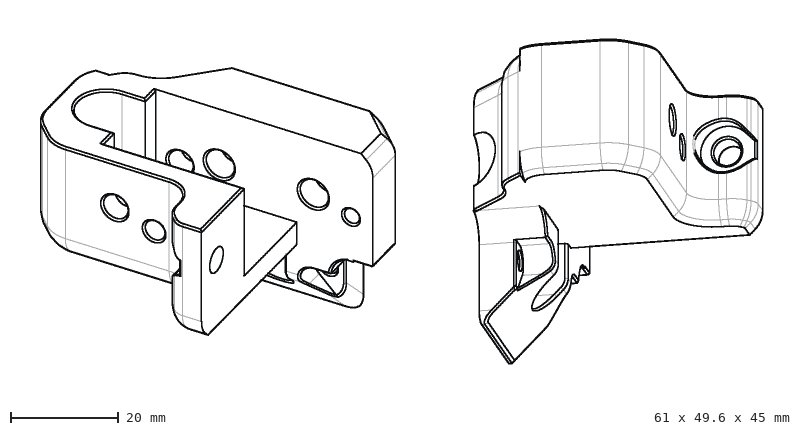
import cadquery as cq
import math

LENGTH = 61.0
DEPTH = 49.6
HEIGHT = 45.0

BODY_BOTTOM = 20.0
PLATE_FRONT = -13.0
EDGE_BREAK = 0.4

BODY_FRONT = -38.0
BODY_BACK = -8.0
BODY_CORNER = 6.5
BODY_RADIUS = 7.0
PLATE_CORNER = 4.35
FOOT_LEFT = 36.5
FOOT_RIGHT = 44.85
FOOT_CORNER = 3.0
FOOT_RADIUS = 5.0
FOOT_TIP_RADIUS = 3.0

SOFT_CHAMFER = 2.5
SOFT_RADIUS = 5.0

CAVITY_LENGTH = 30.0
CAVITY_LEFT = FOOT_RIGHT - CAVITY_LENGTH
CAVITY_FRONT = -33.2
CAVITY_FLOOR = 25.0
RECESS_WIDTH = 12.0
RECESS_STRAIGHT = 5.0
RECESS_CENTER_Y = (BODY_FRONT + BODY_BACK) / 2
RECESS_FLOOR = 30.0

SCREW_PITCH = 20.0
SCREW_LEFT = 28.35
SCREW_RIGHT = SCREW_LEFT + SCREW_PITCH
PATTERN_X = SCREW_LEFT + SCREW_PITCH / 2
SCREW_LOW_Z = 12.45
SCREW_HIGH_Z = SCREW_LOW_Z + SCREW_PITCH
SCREW_HOLE = 3.2
SCREW_HEAD = 6.0
SCREW_ACCESS = 4.2
SCREW_HEAD_DEPTH = 6.0

SIDE_HOLE_X = 56.35
SIDE_HOLE_Z = 30.0
BOLT_HOLE = 5.2
BOLT_HEAD = 10.0
BOLT_X = 20.0
BOLT_ARM_Z = 35.0
BOLT_PLATE_Z = 30.0
BOLT_HEAD_DEPTH = 8.0
FOOT_BOLT_Y = -43.85
FOOT_BOLT_Z = 35.0
FOOT_BOLT_SEAT_X = 40.0
FOOT_BOLT_CLEARANCE = 12.0

TAB_WIDTH = 27.0
TAB_LEFT = PATTERN_X - TAB_WIDTH / 2
TAB_RIGHT = PATTERN_X + TAB_WIDTH / 2
TAB_NECK_RADIUS = 5.0
TAB_CORNER_RADIUS = 2.0
TAB_TIP_THICKNESS = 1.0
TAB_BEND_Z = -PLATE_FRONT - TAB_TIP_THICKNESS
TAB_BEND_RADIUS = 3.0
TAB_SIDE_RADIUS = 3.0
POCKET_FLOOR = -7.0
SLOT_WIDTH = 7.4
SLOT_CENTER_Z = 10.2
SLOT_BREAK = 0.5

PLATE_MARGIN = 7.0

TOLERANCE = 1e-3

TAN_HALF_45 = math.tan(math.radians(22.5))


def rounded_outline(plane, corners):
    """Closed wire through (x, y, radius) corners, each rounded by a tangent arc."""
    points = [cq.Vector(x, y) for x, y, _ in corners]
    stretches = []
    for i, (_, _, radius) in enumerate(corners):
        corner = points[i]
        to_previous = (points[i - 1] - corner).normalized()
        to_next = (points[(i + 1) % len(points)] - corner).normalized()
        half_angle = to_previous.getAngle(to_next) / 2
        setback = radius / math.tan(half_angle)
        to_center = (to_previous + to_next).normalized()
        middle = corner + to_center * (radius / math.sin(half_angle) - radius)
        stretches.append((corner + to_previous * setback, middle, corner + to_next * setback, radius))
    outline = cq.Workplane(plane).moveTo(*stretches[0][0].toTuple()[:2])
    position = stretches[0][0]
    for start, middle, end, radius in stretches:
        if (start - position).Length > TOLERANCE:
            outline = outline.lineTo(start.x, start.y)
        if radius > 0:
            outline = outline.threePointArc((middle.x, middle.y), (end.x, end.y))
        position = end
    return outline.close()


def box(x_range, y_range, z_range):
    """Axis-aligned box between two limits on each axis."""
    size = [high - low for low, high in (x_range, y_range, z_range)]
    return cq.Workplane("XY").box(*size, centered=False).translate((x_range[0], y_range[0], z_range[0]))


def flared_hole(plane, diameter, depth):
    """Cylinder cutter entering along the plane's normal, with its entry edge broken."""
    flare_diameter = diameter + 2 * EDGE_BREAK
    bore = plane.circle(diameter / 2).extrude(depth)
    flare = plane.circle(flare_diameter / 2).workplane(offset=EDGE_BREAK).circle(diameter / 2).loft()
    return bore.union(flare)


def hole_from_front(x, z, diameter, y_front, depth):
    """Flared hole cutter entering at y_front and running toward +Y."""
    plane = cq.Plane(origin=(x, y_front, z), xDir=(1, 0, 0), normal=(0, 1, 0))
    return flared_hole(cq.Workplane(plane), diameter, depth)


def cut_with_broken_rim(solid, cutter, size, *groups):
    """Cut, then chamfer the rim (edges on the surface of both solid and cutter), group by group.

    Each group is a test on an edge's middle point that picks the edges to chamfer together.
    """
    shells = solid.val().Shells() + cutter.val().Shells()
    part = solid.cut(cutter)
    for in_group in groups:
        rim = []
        for edge in part.edges().vals():
            middle = edge.positionAt(0.5)
            vertex = cq.Vertex.makeVertex(*middle.toTuple())
            if in_group(middle) and all(shell.distance(vertex) < TOLERANCE for shell in shells):
                rim.append(edge)
        part = part.newObject(rim).chamfer(size)
    return part


def footprint(back_y):
    """Upper block: plate and arm joined, its slanted ends running on to the back line back_y."""
    back_bend_x = BODY_CORNER + 2 * BODY_RADIUS * TAN_HALF_45
    corners = [
        (back_bend_x + back_y - BODY_BACK, back_y, 0),
        (LENGTH - PLATE_CORNER - back_y, back_y, 0),
        (LENGTH, -PLATE_CORNER, 0),
        (LENGTH, PLATE_FRONT, 0),
        (FOOT_RIGHT, PLATE_FRONT, 0),
        (FOOT_RIGHT, -DEPTH, 0),
        (FOOT_LEFT + FOOT_CORNER, -DEPTH, FOOT_TIP_RADIUS),
        (FOOT_LEFT, FOOT_CORNER - DEPTH, FOOT_RADIUS),
        (FOOT_LEFT, BODY_FRONT, FOOT_RADIUS),
        (BODY_CORNER, BODY_FRONT, BODY_RADIUS),
        (0, BODY_FRONT + BODY_CORNER, BODY_RADIUS),
        (0, BODY_BACK - BODY_CORNER, BODY_RADIUS),
        (BODY_CORNER, BODY_BACK, BODY_RADIUS),
        (back_bend_x, BODY_BACK, BODY_RADIUS),
    ]
    outline = rounded_outline("XY", corners)
    return outline.extrude(HEIGHT - BODY_BOTTOM).translate((0, 0, BODY_BOTTOM))


def edges_at_z(solid, z, keep):
    """Edges lying in the plane at height z whose center satisfies keep."""
    flat = [edge for edge in solid.edges().vals() if edge.BoundingBox().zlen < TOLERANCE]
    level = [edge for edge in flat if abs(edge.Center().z - z) < TOLERANCE]
    return solid.newObject([edge for edge in level if keep(edge.Center())])


def soften(solid, z_edge, z_tangent, keep):
    """Chamfer the outer edges at z_edge and blend the chamfer into the wall above or below."""
    chamfered = edges_at_z(solid, z_edge, keep).chamfer(SOFT_CHAMFER)
    return edges_at_z(chamfered, z_tangent, keep).fillet(SOFT_RADIUS)


def make_arm(block):
    """Front part: softened underside, hollowed by the cavity and the round-ended recess."""
    arm = block.intersect(box((0, LENGTH), (-DEPTH, PLATE_FRONT), (0, HEIGHT)))

    def on_outside(center):
        return center.y < PLATE_FRONT - TOLERANCE and center.x < FOOT_RIGHT - TOLERANCE

    arm = soften(arm, BODY_BOTTOM, BODY_BOTTOM + SOFT_CHAMFER, on_outside)
    arm = arm.cut(box((CAVITY_LEFT, LENGTH), (CAVITY_FRONT, PLATE_FRONT), (CAVITY_FLOOR, HEIGHT)))
    recess_length = 2 * RECESS_STRAIGHT + RECESS_WIDTH
    recess = cq.Workplane("XY", origin=(CAVITY_LEFT, RECESS_CENTER_Y, RECESS_FLOOR))
    arm = arm.cut(recess.slot2D(recess_length, RECESS_WIDTH).extrude(HEIGHT - RECESS_FLOOR))
    return edges_at_z(arm, HEIGHT, lambda c: c.y < PLATE_FRONT - TOLERANCE).chamfer(EDGE_BREAK)


def foot_bolt_seat(seat_plane):
    """Cutter for the bolt head in the foot: round, with 45 degree flanks meeting toward -Y."""
    radius = BOLT_HEAD / 2
    tangent = radius * math.sqrt(0.5)
    outline = (
        seat_plane.moveTo(-2 * tangent, 0)
        .lineTo(-tangent, -tangent)
        .threePointArc((radius, 0), (-tangent, tangent))
        .close()
    )
    return outline.extrude(-FOOT_BOLT_CLEARANCE)


def drill_arm(arm):
    """Screwdriver access, bolt hole through the front wall and the seated bolt in the foot."""
    wall = CAVITY_FRONT - BODY_FRONT
    arm = arm.cut(hole_from_front(SCREW_LEFT, SCREW_HIGH_Z, SCREW_ACCESS, BODY_FRONT, wall))
    arm = arm.cut(hole_from_front(BOLT_X, BOLT_ARM_Z, BOLT_HOLE, BODY_FRONT, wall))
    seat_plane = cq.Workplane("YZ", origin=(FOOT_BOLT_SEAT_X, FOOT_BOLT_Y, FOOT_BOLT_Z))
    arm = cut_with_broken_rim(arm, foot_bolt_seat(seat_plane), EDGE_BREAK, lambda point: True)
    return arm.cut(flared_hole(seat_plane, BOLT_HOLE, FOOT_RIGHT - FOOT_BOLT_SEAT_X))


def make_plate():
    """Rear plate above the tab, softened while oversized and then trimmed to its thickness."""
    back_y = PLATE_MARGIN
    front_y = PLATE_FRONT - PLATE_MARGIN
    plate = footprint(back_y).intersect(box((0, LENGTH), (front_y, back_y), (0, HEIGHT)))

    def on_ends(center):
        on_left = center.x < FOOT_LEFT / 2 and center.y > front_y + TOLERANCE
        on_right = center.x > FOOT_RIGHT and center.y > PLATE_FRONT + TOLERANCE
        return (on_left or on_right) and center.y < back_y - TOLERANCE

    plate = soften(plate, HEIGHT, HEIGHT - SOFT_CHAMFER, on_ends)
    plate = edges_at_z(plate, BODY_BOTTOM, on_ends).chamfer(EDGE_BREAK)
    plate = plate.intersect(box((0, LENGTH), (PLATE_FRONT, 0), (0, HEIGHT)))
    lower_front = cq.Workplane("YZ", origin=(TAB_RIGHT + TAB_NECK_RADIUS, PLATE_FRONT, BODY_BOTTOM))
    corner = lower_front.polyline([(0, 0), (EDGE_BREAK, 0), (0, EDGE_BREAK)]).close()
    return plate.cut(corner.extrude(LENGTH))


def slope_profile():
    """Side profile of the tab: a wall, a rounded bend and a 45 degree slope to the tip."""
    corners = [
        (0, BODY_BOTTOM, 0),
        (PLATE_FRONT, BODY_BOTTOM, 0),
        (PLATE_FRONT, TAB_BEND_Z, TAB_BEND_RADIUS),
        (-TAB_TIP_THICKNESS, 0, 0),
        (0, 0, 0),
    ]
    return rounded_outline("YZ", corners).extrude(LENGTH)


def side_rounding():
    """Waste outside the rounded right edge of the slope, swept along the slope."""
    r = TAB_SIDE_RADIUS
    plane = cq.Plane(origin=(TAB_RIGHT, PLATE_FRONT, TAB_BEND_Z), xDir=(1, 0, 0), normal=(0, 1, -1))
    corner = (
        cq.Workplane(plane)
        .moveTo(-r, 0)
        .radiusArc((0, -r), r)
        .lineTo(r, -r)
        .lineTo(r, r)
        .lineTo(-r, r)
        .close()
    )
    return corner.extrude(-2 * PLATE_FRONT)


def pocket(x, outward):
    """Flat-floored screw seat open to one side of the tab (outward is -1 or +1)."""
    r = SCREW_HEAD / 2
    diagonal = r * math.sqrt(0.5)
    reach = TAB_WIDTH
    return (
        cq.Workplane("XZ", origin=(x, POCKET_FLOOR, SCREW_LOW_Z))
        .moveTo(outward * reach, r)
        .lineTo(0, r)
        .threePointArc((-outward * r, 0), (-outward * diagonal, -diagonal))
        .lineTo(outward * (reach - diagonal), -diagonal - reach)
        .lineTo(outward * reach, -diagonal - reach)
        .close()
        .extrude(-PLATE_FRONT)
    )


def slot_cutter():
    """Through slot with a round lower end, open to the block above."""
    half_width = SLOT_WIDTH / 2
    end_center = cq.Workplane("XZ", origin=(PATTERN_X, 0, SLOT_CENTER_Z))
    round_end = end_center.circle(half_width).extrude(-PLATE_FRONT)
    x_range = (PATTERN_X - half_width, PATTERN_X + half_width)
    return round_end.union(box(x_range, (PLATE_FRONT, 0), (SLOT_CENTER_Z, BODY_BOTTOM)))


def tab_blank():
    """Tab outline with necks into the block, sloped front and broken front side edges."""
    neck = TAB_NECK_RADIUS
    corner = TAB_CORNER_RADIUS
    tab = (
        cq.Workplane("XZ")
        .moveTo(TAB_LEFT - neck, BODY_BOTTOM)
        .radiusArc((TAB_LEFT, BODY_BOTTOM - neck), neck)
        .lineTo(TAB_LEFT, corner)
        .radiusArc((TAB_LEFT + corner, 0), -corner)
        .lineTo(TAB_RIGHT - corner, 0)
        .radiusArc((TAB_RIGHT, corner), -corner)
        .lineTo(TAB_RIGHT, BODY_BOTTOM - neck)
        .radiusArc((TAB_RIGHT + neck, BODY_BOTTOM), neck)
        .close()
        .extrude(-PLATE_FRONT)
    )

    def on_left_side(point):
        return point.x < TAB_LEFT + corner - TOLERANCE

    def on_upper_right_side(point):
        return point.x > TAB_RIGHT - TOLERANCE and point.z > TAB_BEND_Z

    def on_front_side(point):
        on_side = on_left_side(point) or on_upper_right_side(point)
        return on_side and point.y < -TOLERANCE and point.z < BODY_BOTTOM - TOLERANCE

    around_tab = box((0, LENGTH), (PLATE_FRONT - TAB_NECK_RADIUS, 0), (0, BODY_BOTTOM))
    waste = around_tab.cut(slope_profile())
    tab = cut_with_broken_rim(tab, waste, EDGE_BREAK, on_front_side)
    return tab.cut(side_rounding())


def make_tab():
    """Tab hanging from the plate, with its slot, screw seats and screw holes."""

    def on_front_rim_of_slot(point):
        return point.y < -TOLERANCE and point.z < BODY_BOTTOM - TOLERANCE

    def on_floor(point):
        return abs(point.y - POCKET_FLOOR) < TOLERANCE

    def in_neck(point):
        between_sides = TAB_LEFT + EDGE_BREAK < point.x < TAB_RIGHT - EDGE_BREAK
        return point.z > BODY_BOTTOM - TAB_NECK_RADIUS and not between_sides

    def on_front_rim(point):
        return not on_floor(point) and not in_neck(point)

    def on_open_side(point):
        on_slope = point.z < -POCKET_FLOOR - TAB_TIP_THICKNESS + TOLERANCE
        return on_floor(point) and not in_neck(point) and not on_slope

    tab = cut_with_broken_rim(tab_blank(), slot_cutter(), SLOT_BREAK, on_front_rim_of_slot)
    for x, outward in ((SCREW_LEFT, -1), (SCREW_RIGHT, 1)):
        tab = cut_with_broken_rim(tab, pocket(x, outward), EDGE_BREAK, on_front_rim, on_open_side)
        tab = tab.cut(hole_from_front(x, SCREW_LOW_Z, SCREW_HOLE, POCKET_FLOOR, -POCKET_FLOOR))
    return tab


def drill_plate(part):
    """Screw, side and bolt holes through the rear plate."""
    thickness = -PLATE_FRONT
    for x in (SCREW_LEFT, SCREW_RIGHT):
        part = part.cut(hole_from_front(x, SCREW_HIGH_Z, SCREW_HEAD, PLATE_FRONT, SCREW_HEAD_DEPTH))
        part = part.cut(hole_from_front(x, SCREW_HIGH_Z, SCREW_HOLE, PLATE_FRONT, thickness))
    part = part.cut(hole_from_front(SIDE_HOLE_X, SIDE_HOLE_Z, SCREW_HOLE, PLATE_FRONT, thickness))
    part = part.cut(hole_from_front(BOLT_X, BOLT_PLATE_Z, BOLT_HOLE, PLATE_FRONT, thickness))
    bolt_seat = cq.Workplane("XZ", origin=(BOLT_X, 0, BOLT_PLATE_Z))
    return part.cut(bolt_seat.circle(BOLT_HEAD / 2).extrude(BOLT_HEAD_DEPTH))


arm = drill_arm(make_arm(footprint(0)))
result = drill_plate(arm.union(make_plate()).union(make_tab()))